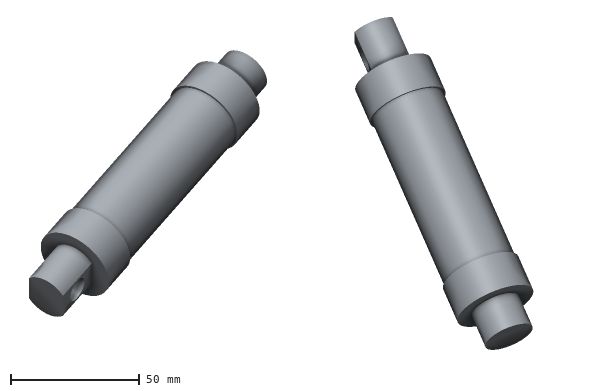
import cadquery as cq

barrel_diameter = 30.0
barrel_length = 75.0
cap_diameter = 32.0
cap_length = 15.0
stud_diameter = 20.0
stud_length = 14.0
lug_diameter = 20.0
lug_length = 20.0
lug_width = 16.0
pin_hole_diameter = 10.0

lug_start = 0.0
front_cap_start = lug_start + lug_length
barrel_start = front_cap_start + cap_length
rear_cap_start = barrel_start + barrel_length
stud_start = rear_cap_start + cap_length
pin_hole_y = lug_start + lug_length / 2


def cylinder_along_y(diameter, start, length):
    """Solid cylinder on the Y axis, from start to start + length."""
    plane = cq.Workplane(cq.Plane(origin=(0, start, 0), xDir=(1, 0, 0), normal=(0, 1, 0)))
    return plane.circle(diameter / 2).extrude(length)


def make_lug():
    """Round lug with two flats facing +X and -X and a pin hole across them."""
    flats = cq.Workplane("XY").box(lug_width, lug_length, lug_diameter)
    flats = flats.translate((0, pin_hole_y, 0))
    pin_hole = (
        cq.Workplane("YZ")
        .center(pin_hole_y, 0)
        .circle(pin_hole_diameter / 2)
        .extrude(lug_diameter / 2, both=True)
    )
    return cylinder_along_y(lug_diameter, lug_start, lug_length).intersect(flats).cut(pin_hole)


front_cap = cylinder_along_y(cap_diameter, front_cap_start, cap_length)
barrel = cylinder_along_y(barrel_diameter, barrel_start, barrel_length)
rear_cap = cylinder_along_y(cap_diameter, rear_cap_start, cap_length)
stud = cylinder_along_y(stud_diameter, stud_start, stud_length)

result = make_lug().union(front_cap).union(barrel).union(rear_cap).union(stud)